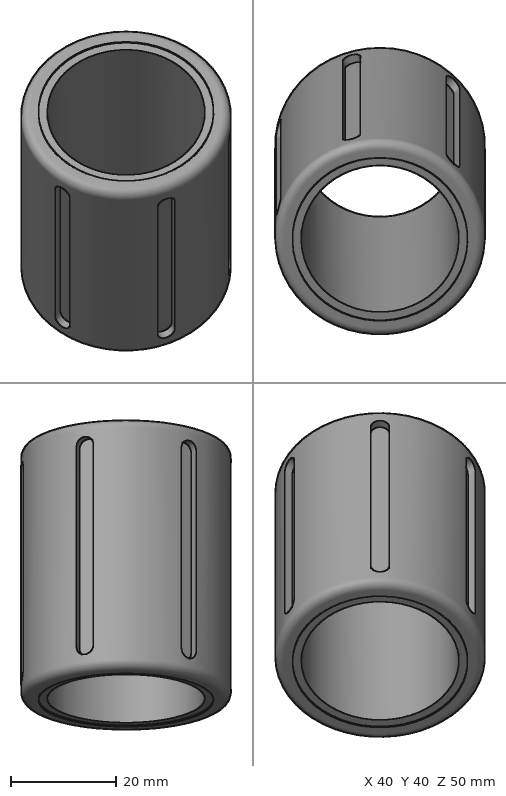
import cadquery as cq

height = 50.0
outer_diameter = 40.0
bore_diameter = 30.0
wall = (outer_diameter - bore_diameter) / 2
edge_radius = wall / 3

counterbore_diameter = outer_diameter - 4 * edge_radius
counterbore_depth = 0.3

slot_count = 6
slot_width = 3.5
slot_depth = wall / 3
slot_end_margin = 3.25
slot_length = height - 2 * slot_end_margin


def sleeve():
    """Hollow cylinder with rounded outer rims."""
    body = cq.Workplane("XY").cylinder(height, outer_diameter / 2)
    body = body.faces("<Z or >Z").edges().fillet(edge_radius)
    bore = cq.Workplane("XY").cylinder(height, bore_diameter / 2)
    return body.cut(bore)


def counterbores():
    """Discs that recess the inner part of both end faces."""
    disc = (
        cq.Workplane("XY", origin=(0, 0, height / 2 - counterbore_depth))
        .circle(counterbore_diameter / 2)
        .extrude(counterbore_depth)
    )
    return disc.union(disc.mirror("XY"))


def slot(angle):
    """Flat-floored slot cutter on the -Y side, turned by angle about Z."""
    floor_distance = outer_diameter / 2 - slot_depth
    return (
        cq.Workplane("XZ", origin=(0, -floor_distance, 0))
        .slot2D(slot_length, slot_width, 90)
        .extrude(wall)
        .rotate((0, 0, 0), (0, 0, 1), angle)
    )


result = sleeve().cut(counterbores())
for index in range(slot_count):
    result = result.cut(slot(index * 360 / slot_count))